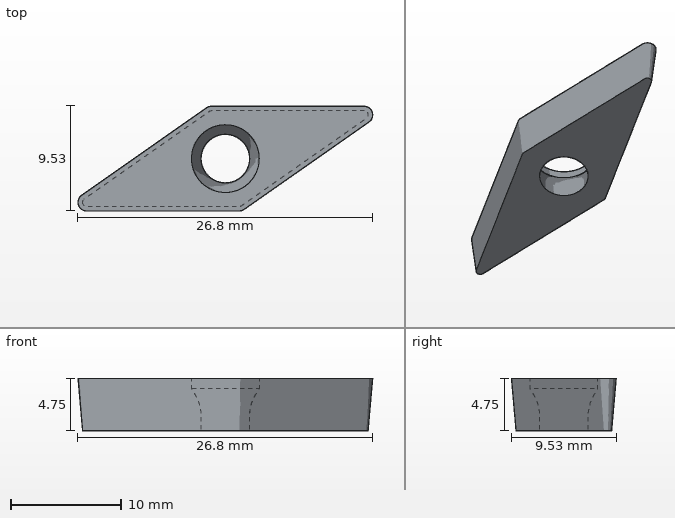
import cadquery as cq
import math

length = 26.75
width = 9.53
thickness = 4.75
corner_angle = 35.0
relief_angle = 5.0
hole_diameter = 4.4
mouth_diameter = 6.15
mouth_depth = 0.9
chamfer_height = 0.21
seat_diameter = 5.95
seat_depth = 2.33

half_width = width / 2
half_angle = math.radians(corner_angle / 2)
cot_half = 1 / math.tan(half_angle)
acute_x = half_width * cot_half
obtuse_x = half_width * math.tan(half_angle)
corner_radius = (acute_x - length / 2) / (cot_half - 1)


def rhombus_at(inset):
    """Rounded rhombus with every side and corner arc moved inward by inset."""
    scale = (half_width - inset) / half_width
    corners = [
        (acute_x * scale, half_width * scale),
        (-obtuse_x * scale, half_width * scale),
        (-acute_x * scale, -half_width * scale),
        (obtuse_x * scale, -half_width * scale),
    ]
    outline = cq.Sketch().polygon(corners + corners[:1])
    return outline.vertices().fillet(corner_radius - inset)


def make_body():
    """Plate that narrows downward; its corners become cones."""
    bottom_inset = thickness * math.tan(math.radians(relief_angle))
    bottom = rhombus_at(bottom_inset)
    top = rhombus_at(0).moved(cq.Location(cq.Vector(0, 0, thickness)))
    return cq.Workplane("XY").placeSketch(bottom, top).loft(ruled=True)


def make_hole():
    """Through hole with a straight mouth and a screw seat that blends into the bore."""
    hole_radius = hole_diameter / 2
    mouth_radius = mouth_diameter / 2
    seat_radius = seat_diameter / 2
    mouth_floor = thickness - mouth_depth
    seat_top = mouth_floor - chamfer_height
    seat_bottom = seat_top - seat_depth
    flare = seat_radius - hole_radius
    arc_radius = (flare**2 + seat_depth**2) / (2 * flare)
    middle_angle = math.asin(seat_depth / arc_radius) / 2
    arc_middle = (
        hole_radius + arc_radius * (1 - math.cos(middle_angle)),
        seat_bottom + arc_radius * math.sin(middle_angle),
    )
    return (
        cq.Workplane("XZ")
        .moveTo(0, 0)
        .lineTo(hole_radius, 0)
        .lineTo(hole_radius, seat_bottom)
        .threePointArc(arc_middle, (seat_radius, seat_top))
        .lineTo(mouth_radius, mouth_floor)
        .lineTo(mouth_radius, thickness)
        .lineTo(0, thickness)
        .close()
        .revolve(360, (0, 0, 0), (0, 1, 0))
    )


result = make_body().cut(make_hole())